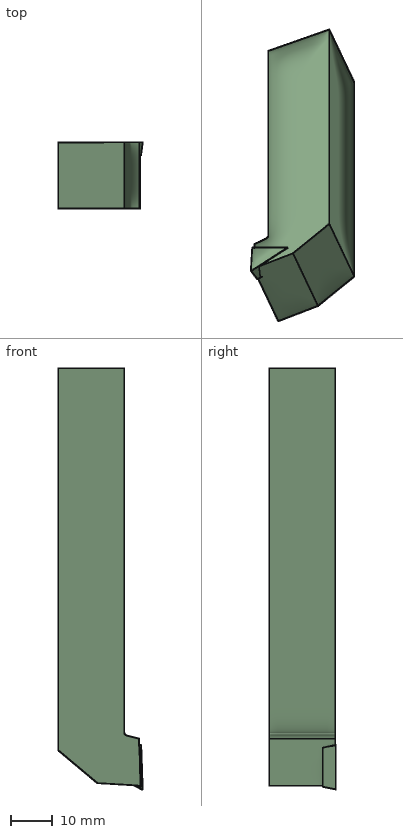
import cadquery as cq
import math

overall_length = 101.4
shank_width = 15.9
holder_depth = shank_width
head_top_x = 19.5
head_bottom_x = 19.8
neck_z = 13.2
head_shoulder_z = 12.3
head_bottom_z = 0.9
heel_x = 9.4
heel_z = 1.5
chamfer_top_z = 9.4
neck_radius = 0.8

overall_width = 20.4
overall_depth = 16.0
insert_edge = 11.0
insert_thickness = 3.1
relief_angle = 7.0
lead_angle = 2.0
nose_radius = 0.2
corner_angle = 60.0


def make_insert():
    """Triangle tapering toward -Y, with all corners rounded and one of them the cutting tip."""
    bisector = math.radians(90 + lead_angle + corner_angle / 2)
    nose_center_distance = nose_radius / math.sin(math.radians(corner_angle / 2))
    tip_x = overall_width - nose_radius - nose_center_distance * math.cos(bisector)
    tip_z = nose_radius - nose_center_distance * math.sin(bisector)

    side_direction = math.radians(90 + lead_angle)
    back_direction = side_direction + math.radians(corner_angle)
    corners = [(tip_x, tip_z)]
    for direction in (side_direction, back_direction):
        corners.append((
            tip_x + insert_edge * math.cos(direction),
            tip_z + insert_edge * math.sin(direction),
        ))
    return (
        cq.Workplane("XZ", origin=(0, overall_depth, 0))
        .polyline(corners)
        .close()
        .extrude(insert_thickness, taper=relief_angle)
        .faces("not(|Y)")
        .edges("not(#Y)")
        .fillet(nose_radius)
        .solids()
    )


def make_holder(insert):
    """Shank and head in one outline, with a pocket that matches the insert."""
    outline = [
        (0, overall_length),
        (shank_width, overall_length),
        (shank_width, neck_z),
        (head_top_x, head_shoulder_z),
        (head_bottom_x, head_bottom_z),
        (heel_x, heel_z),
        (0, chamfer_top_z),
    ]
    neck_corner = cq.selectors.NearestToPointSelector((shank_width, holder_depth / 2, neck_z))
    return (
        cq.Workplane("XZ", origin=(0, holder_depth, 0))
        .polyline(outline)
        .close()
        .extrude(holder_depth)
        .edges(neck_corner)
        .fillet(neck_radius)
        .cut(insert)
        .solids()
    )


insert = make_insert()
holder = make_holder(insert)

result = cq.Compound.makeCompound([holder.val(), insert.val()])